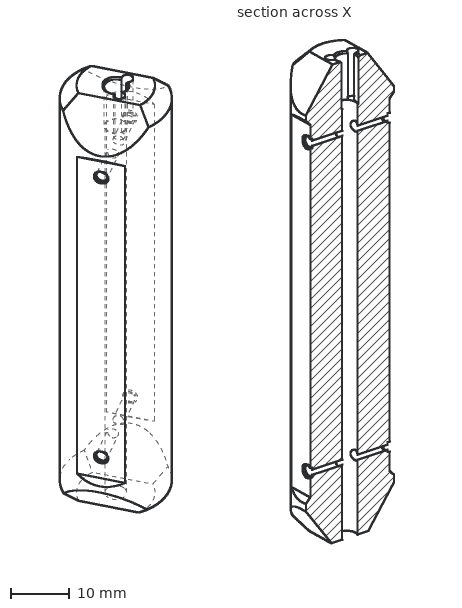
import cadquery as cq

length = 90.0
diameter = 19.1
radius = diameter / 2
half_length = length / 2

cone_height = 2.8
cone_setback = 2.9
top_tip_half_thickness = 3.8
bottom_tip_half_thickness = 4.0
top_slope_height = 8.0
bottom_slope_height = 7.65

flat_half_thickness = 8.55
flat_end_margin = 10.0
flat_depth = radius - flat_half_thickness

cross_hole_diameter = 2.0
cross_hole_mouth_diameter = 2.5
cross_hole_mouth_depth = 0.45
upper_hole_margin = 13.6
lower_hole_margin = 14.6

bore_diameter = 3.7
mouth_diameter = 4.0
mouth_depth = 9.0
rim_diameter = 4.6
rim_chamfer = (rim_diameter - mouth_diameter) / 2
pin_hole_diameter = 2.0
pin_hole_depth = 9.0
pin_hole_x = 1.35
pin_hole_y = 2.3


def make_body():
    """Revolved bar with conical ends, trimmed by the four sloped flats."""
    tip_radius = radius - cone_setback
    shoulder_z = half_length - cone_height
    half_profile = [
        (0, -half_length),
        (tip_radius, -half_length),
        (radius, -shoulder_z),
        (radius, shoulder_z),
        (tip_radius, half_length),
        (0, half_length),
    ]
    bar = cq.Workplane("XZ").polyline(half_profile).close().revolve(360, (0, 0), (0, 1))

    upper_slope_z = half_length - top_slope_height
    lower_slope_z = bottom_slope_height - half_length
    side_outline = [
        (-bottom_tip_half_thickness, -half_length),
        (bottom_tip_half_thickness, -half_length),
        (radius, lower_slope_z),
        (radius, upper_slope_z),
        (top_tip_half_thickness, half_length),
        (-top_tip_half_thickness, half_length),
        (-radius, upper_slope_z),
        (-radius, lower_slope_z),
    ]
    envelope = cq.Workplane("YZ").polyline(side_outline).close().extrude(radius, both=True)
    return bar.intersect(envelope)


def make_side_flat(side):
    """Cutter for the flat on the +Y (side = 1) or -Y (side = -1) face."""
    inner_z = half_length - flat_end_margin
    outer_z = inner_z + flat_depth
    outline = [
        (side * flat_half_thickness, -inner_z),
        (side * flat_half_thickness, inner_z),
        (side * radius, outer_z),
        (side * radius, -outer_z),
    ]
    return cq.Workplane("YZ").polyline(outline).close().extrude(radius, both=True)


def make_cross_hole(z):
    """Cutter along Y with a wider mouth at each side flat."""
    hole = cq.Workplane("XZ").center(0, z).circle(cross_hole_diameter / 2).extrude(radius, both=True)
    mouths = cq.Workplane("XZ").center(0, z).circle(cross_hole_mouth_diameter / 2).extrude(radius, both=True)
    core_half_thickness = flat_half_thickness - cross_hole_mouth_depth
    core = cq.Workplane("XY").box(diameter, 2 * core_half_thickness, length)
    return hole.union(mouths.cut(core))


def make_bore():
    """Through bore with a wider, chamfered mouth and pin holes at the top end."""
    top = cq.Workplane("XY", origin=(0, 0, half_length))
    bore = top.circle(bore_diameter / 2).extrude(-length)
    mouth = top.circle(mouth_diameter / 2).extrude(-mouth_depth)
    rim = top.circle(rim_diameter / 2).workplane(offset=-rim_chamfer).circle(mouth_diameter / 2).loft()
    pin_centres = [(pin_hole_x, pin_hole_y), (pin_hole_x, -pin_hole_y)]
    pin_holes = top.pushPoints(pin_centres).circle(pin_hole_diameter / 2).extrude(-pin_hole_depth)
    return bore.union(mouth).union(rim).union(pin_holes)


result = make_body()
for side in (-1, 1):
    result = result.cut(make_side_flat(side))
for hole_z in (half_length - upper_hole_margin, lower_hole_margin - half_length):
    result = result.cut(make_cross_hole(hole_z))
result = result.cut(make_bore())